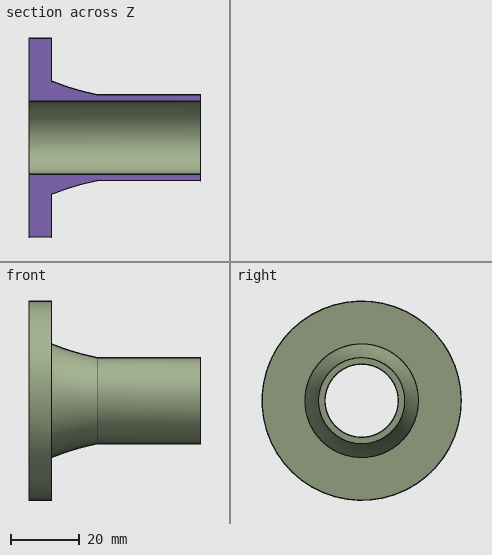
import cadquery as cq

flange_diameter = 58.0
flange_thickness = 6.6

total_length = 50.0
tube_diameter = 25.05
bore_diameter = 21.2

neck_base_diameter = 33.05
neck_end = 20.0
neck_sag = 0.35

flange_radius = flange_diameter / 2
tube_radius = tube_diameter / 2
neck_base_radius = neck_base_diameter / 2

neck_middle_x = (flange_thickness + neck_end) / 2
neck_middle_radius = (neck_base_radius + tube_radius) / 2 - neck_sag

body = (
    cq.Workplane("XY")
    .lineTo(0, flange_radius)
    .lineTo(flange_thickness, flange_radius)
    .lineTo(flange_thickness, neck_base_radius)
    .threePointArc((neck_middle_x, neck_middle_radius), (neck_end, tube_radius))
    .lineTo(total_length, tube_radius)
    .lineTo(total_length, 0)
    .close()
    .revolve(360, (0, 0, 0), (1, 0, 0))
)

bore = cq.Workplane("YZ").circle(bore_diameter / 2).extrude(total_length)

result = body.cut(bore)